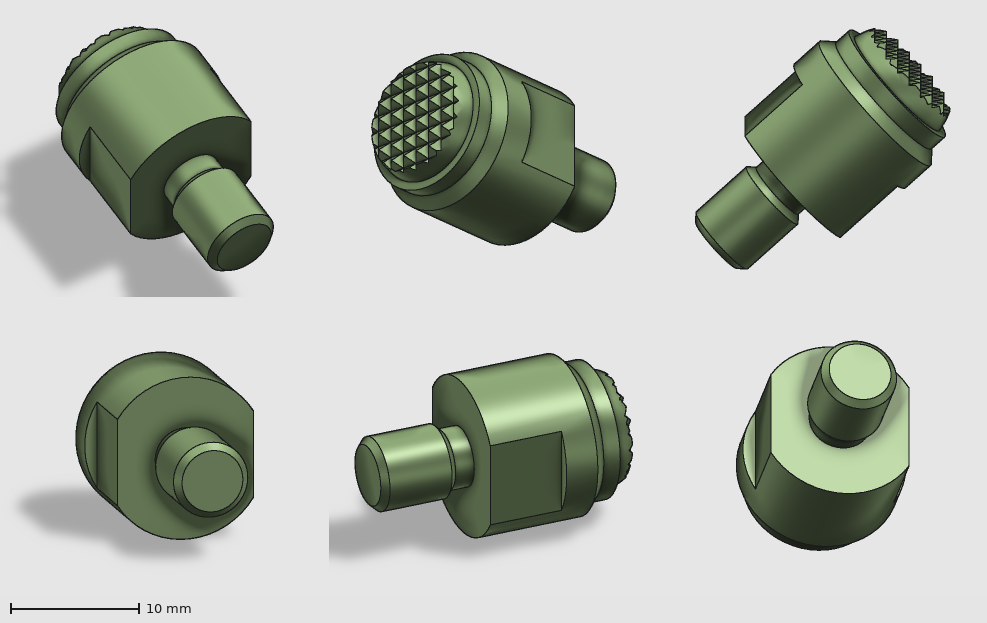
import math

import cadquery as cq


LENGTH = 21.0
COLLAR_START = 1.91
SHOULDER_START = 3.32
SHOULDER_LENGTH = 0.92
HEAD_END = 13.0
FLAT_START = 6.9
NECK_END = 14.6

HEAD_DIAMETER = 13.0
HEAD_RADIUS = HEAD_DIAMETER / 2
COLLAR_RADIUS = 5.59
NECK_RADIUS = 2.45
STUD_RADIUS = 3.0
STUD_CHAMFER = STUD_RADIUS - NECK_RADIUS

FLAT_DISTANCE = 5.5

BALL_RADIUS = 5.0
BALL_CENTRE = 2.75
TOOTH_PITCH = 1.32
TOOTH_DEPTH = TOOTH_PITCH / 2
TEETH_PER_SIDE = 4


def make_ball_blank():
    """Revolve a ball, cut off square at x = 0, about the X axis."""
    face_radius = math.sqrt(BALL_RADIUS**2 - BALL_CENTRE**2)
    return (
        cq.Workplane("XY")
        .polyline([(BALL_CENTRE + BALL_RADIUS, 0), (0, 0), (0, face_radius)])
        .threePointArc((BALL_CENTRE, BALL_RADIUS), (BALL_CENTRE + BALL_RADIUS, 0))
        .close()
        .revolve(360, (0, 0, 0), (1, 0, 0))
    )


def make_turned_housing():
    """Revolve the half profile of head, neck and stud about the X axis."""
    profile = [
        (COLLAR_START, 0),
        (COLLAR_START, COLLAR_RADIUS),
        (SHOULDER_START, COLLAR_RADIUS),
        (SHOULDER_START + SHOULDER_LENGTH, HEAD_RADIUS),
        (HEAD_END, HEAD_RADIUS),
        (HEAD_END, NECK_RADIUS),
        (NECK_END, NECK_RADIUS),
        (NECK_END + STUD_CHAMFER, STUD_RADIUS),
        (LENGTH - STUD_CHAMFER, STUD_RADIUS),
        (LENGTH, STUD_RADIUS - STUD_CHAMFER),
        (LENGTH, 0),
    ]
    return cq.Workplane("XY").polyline(profile).close().revolve(360, (0, 0, 0), (1, 0, 0))


def make_flat_cutter(side):
    """Block outside one wrench flat; side is +1 or -1 along Y."""
    flat_length = HEAD_END - FLAT_START
    cut_depth = HEAD_RADIUS
    return (
        cq.Workplane("XY")
        .box(flat_length, cut_depth, 2 * HEAD_RADIUS)
        .translate((FLAT_START + flat_length / 2, side * (FLAT_DISTANCE + cut_depth / 2), 0))
    )


def make_housing():
    """Turned body with two wrench flats and a socket for the ball."""
    housing = make_turned_housing()
    for side in (1, -1):
        housing = housing.cut(make_flat_cutter(side))
    return housing.cut(make_ball_blank())


def make_groove_cutter():
    """Sawtooth-faced block, ridges reaching back from x = 0, that cuts grooves running along Z."""
    edge = TEETH_PER_SIDE * TOOTH_PITCH
    front = -TOOTH_PITCH
    outline = [(front, edge), (front, -edge)]
    for tooth in range(-TEETH_PER_SIDE, TEETH_PER_SIDE):
        valley = tooth * TOOTH_PITCH
        outline.append((TOOTH_DEPTH, valley))
        outline.append((0, valley + TOOTH_PITCH / 2))
    outline.append((TOOTH_DEPTH, edge))
    return cq.Workplane("XY").polyline(outline).close().extrude(BALL_RADIUS + TOOTH_PITCH, both=True)


def make_ball():
    """Ball whose front is cut by two crossing sets of grooves into square pyramids."""
    groove_cutter = make_groove_cutter()
    crossing_cutter = groove_cutter.rotate((0, 0, 0), (1, 0, 0), 90)
    return make_ball_blank().cut(groove_cutter).cut(crossing_cutter)


housing = make_housing()
ball = make_ball()

result = cq.Compound.makeCompound([housing.val(), ball.val()])